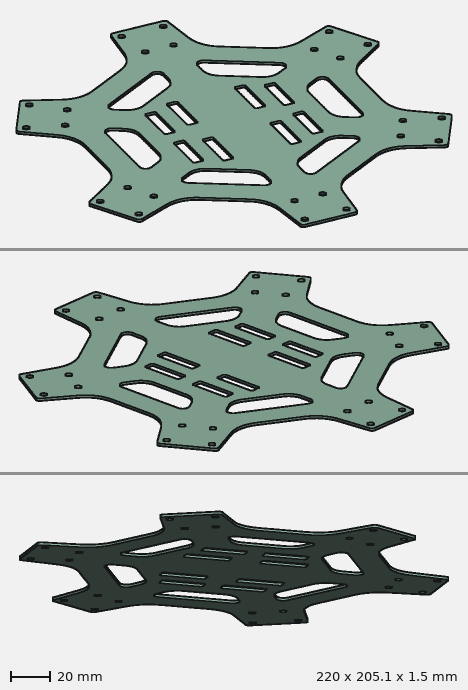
import cadquery as cq
import math

plate_thickness = 1.5
arm_count = 6
arm_pitch = 360 / arm_count

arm_reach = 110.0
arm_tip_half_width = 15.87
arm_taper = 6.3
hub_apothem = 78.0
tip_corner_radius = 2.0
root_fillet_radius = 19.5

hole_diameter = 3.5
outer_hole_reach = 105.0
outer_hole_offset = 11.8
inner_hole_reach = 85.5
inner_hole_offset = 8.0

window_inner = 48.0
window_outer = 63.2
window_arm_clearance = 9.6
window_sharp_radius = 3.5
window_blunt_radius = 10.0

slot_width = 6.0
slot_corner_radius = 1.0
outer_slot = (23.2, 16.4, 33.8)
inner_slot = (24.4, 20.5, 19.2)


def rotated(x, y, degrees):
    """Turn a point about the plate centre."""
    angle = math.radians(degrees)
    return (
        x * math.cos(angle) - y * math.sin(angle),
        x * math.sin(angle) + y * math.cos(angle),
    )


def arm_root():
    """Point where the upper side of the +X arm meets the adjacent hub edge."""
    half_pitch = math.radians(arm_pitch / 2)
    slope = math.tan(math.radians(arm_taper))
    width_at_centre = arm_tip_half_width + slope * arm_reach
    x = (hub_apothem - width_at_centre * math.sin(half_pitch)) / (
        math.cos(half_pitch) - slope * math.sin(half_pitch)
    )
    return x, width_at_centre - slope * x


def prism(points):
    """Solid of plate thickness on a closed polygon."""
    return cq.Workplane("XY").polyline(points).close().extrude(plate_thickness)


def round_corners(body, corners, radius):
    """Fillet the vertical edges that stand on the given corner points."""
    for x, y in corners:
        corner = cq.selectors.NearestToPointSelector((x, y, plate_thickness / 2))
        body = body.edges("|Z").edges(corner).fillet(radius)
    return body


def make_plate():
    """Solid six-armed plate with rounded tips and arm roots."""
    root_x, root_y = arm_root()
    outline = []
    tips = []
    roots = []
    for arm in range(arm_count):
        turn = arm * arm_pitch
        arm_tips = [rotated(arm_reach, side * arm_tip_half_width, turn) for side in (-1, 1)]
        arm_roots = [rotated(root_x, side * root_y, turn) for side in (-1, 1)]
        outline += [arm_roots[0], *arm_tips, arm_roots[1]]
        tips += arm_tips
        roots += arm_roots
    plate = round_corners(prism(outline), tips, tip_corner_radius)
    return round_corners(plate, roots, root_fillet_radius)


def arm_hole_centres():
    """Four holes in every arm: a wide outer pair and a narrow inner pair."""
    centres = []
    for arm in range(arm_count):
        for side in (-1, 1):
            centres.append(rotated(outer_hole_reach, side * outer_hole_offset, arm * arm_pitch))
            centres.append(rotated(inner_hole_reach, side * inner_hole_offset, arm * arm_pitch))
    return centres


def window_half_length(distance):
    """Half length of the window at a distance from the centre, between the two arms."""
    half_pitch = math.radians(arm_pitch / 2)
    return distance * math.tan(half_pitch) - window_arm_clearance / math.cos(half_pitch)


def make_window():
    """Window centred on the +X direction."""
    inner_half = window_half_length(window_inner)
    outer_half = window_half_length(window_outer)
    blunt = [(window_inner, inner_half), (window_inner, -inner_half)]
    sharp = [(window_outer, -outer_half), (window_outer, outer_half)]
    window = round_corners(prism(blunt + sharp), sharp, window_sharp_radius)
    return round_corners(window, blunt, window_blunt_radius)


def make_slots(length, centre_x, centre_y):
    """Four matching slots, one in each quadrant."""
    centres = [(x_side * centre_x, y_side * centre_y) for x_side in (-1, 1) for y_side in (-1, 1)]
    slots = cq.Workplane("XY").pushPoints(centres).rect(length, slot_width).extrude(plate_thickness)
    return slots.edges("|Z").fillet(slot_corner_radius)


def make_frame():
    """Plate with its arm holes, windows and strap slots cut through."""
    frame = make_plate()
    holes = cq.Workplane("XY").pushPoints(arm_hole_centres()).circle(hole_diameter / 2)
    frame = frame.cut(holes.extrude(plate_thickness))
    window = make_window()
    for gap in range(arm_count):
        direction = gap * arm_pitch + arm_pitch / 2
        frame = frame.cut(window.rotate((0, 0, 0), (0, 0, 1), direction))
    for slot in (outer_slot, inner_slot):
        frame = frame.cut(make_slots(*slot))
    return frame


result = make_frame()